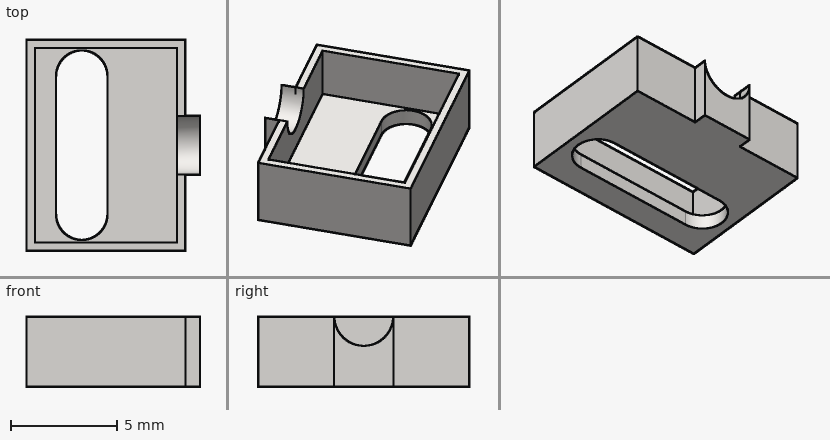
import cadquery as cq

tray_length_x = 7.46
tray_width_y = 9.92
height = 3.3
wall = 0.4
floor = 0.8

spout_reach = 0.69
spout_width = 2.78
rim_edge = 0.01
channel_radius = spout_width / 2 - rim_edge

slot_length = 8.89
slot_width = 2.4
slot_center_x = 2.6

CENTERED_Y = (False, True, False)


def make_tray():
    outer = cq.Workplane("XY").box(tray_length_x, tray_width_y, height, centered=CENTERED_Y)
    cavity = (
        cq.Workplane("XY")
        .box(tray_length_x - 2 * wall, tray_width_y - 2 * wall, height, centered=CENTERED_Y)
        .translate((wall, 0, floor))
    )
    return outer.cut(cavity)


def make_spout():
    return (
        cq.Workplane("XY")
        .box(wall + spout_reach, spout_width, height, centered=CENTERED_Y)
        .translate((tray_length_x - wall, 0, 0))
    )


def make_channel():
    """Cylinder along X, centred on the top rim, passing through the wall and spout."""
    return (
        cq.Workplane("YZ", origin=(tray_length_x - wall, 0, height))
        .circle(channel_radius)
        .extrude(wall + spout_reach)
    )


def make_floor_slot():
    return (
        cq.Workplane("XY")
        .center(slot_center_x, 0)
        .slot2D(slot_length, slot_width, angle=90)
        .extrude(floor)
    )


result = make_tray().union(make_spout()).cut(make_channel()).cut(make_floor_slot())